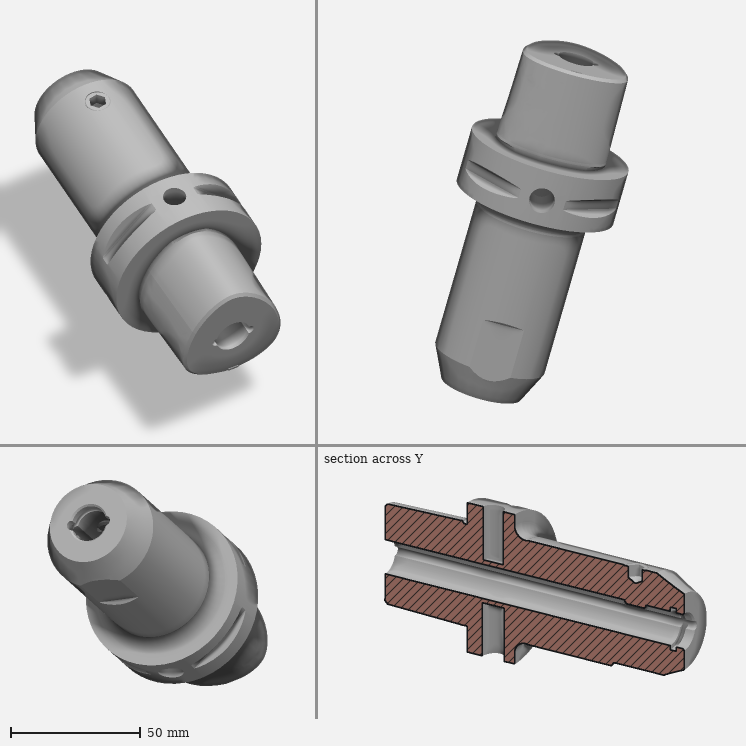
import cadquery as cq
import math

nose_diameter = 32.0
body_diameter = 44.0
neck_diameter = 43.6
flange_diameter = 63.0
nose_length = 12.7
neck_start = 72.0
neck_cone_length = 0.8
flange_front = 78.0
flange_back = 99.9
shank_end = 137.6
overall_length = 138.0
flange_fillet = 5.0

flat_height = 20.4
flat_end = 32.4
flat_run_out = 1.1

bore_diameter = 14.2
bore_mouth_diameter = 15.6
mouth_depth = 0.7
ring_groove_diameter = 17.8
ring_groove_start = 3.9
ring_groove_width = 2.5
coolant_groove_diameter = 3.9
coolant_groove_offset = 7.0

screw_x = 22.5
screw_diameter = 10.0
screw_point_diameter = 8.1
screw_point_height = 5.7
screw_top_height = 21.8
socket_width = 6.1
socket_depth = 4.8
socket_turn = 41
socket_cone_depth = 1.7
screw_rim_chamfer = 0.3

slot_x = 87.9
slot_floor_distance = 27.7
slot_floor_width = 3.5
slot_step_width = 4.4
slot_step_height = 0.4
slot_top_width = 7.7
slot_count = 4
top_hole_diameter = 9.0
bottom_hole_diameter = 10.0
marker_floor_diameter = 18.4

lobe_count = 3
shank_radius = body_diameter / 2
lobe_height = 1.4
land_rise = 0.1
land_start = 101.8
land_end = 102.8
shank_taper = 1 / 40
end_chamfer = 1.1
lobe_groove_radius = 22.4
lobe_groove_width = 1.2
mark_width = 4.4
mark_height = 0.8
first_flank = 30


def on_axis_profile(points):
    """Revolve an (x, radius) outline about the tool axis."""
    return cq.Workplane("XY").polyline(points).close().revolve(360, (0, 0, 0), (1, 0, 0))


def make_body():
    flange_radius = flange_diameter / 2
    neck_radius = neck_diameter / 2
    outline = (
        cq.Workplane("XY")
        .moveTo(0, 0)
        .lineTo(0, nose_diameter / 2)
        .lineTo(nose_length, body_diameter / 2)
        .lineTo(neck_start, body_diameter / 2)
        .lineTo(neck_start + neck_cone_length, neck_radius)
        .lineTo(flange_front - flange_fillet, neck_radius)
        .radiusArc((flange_front, neck_radius + flange_fillet), -flange_fillet)
        .lineTo(flange_front, flange_radius)
        .lineTo(flange_back, flange_radius)
        .lineTo(flange_back, 0)
        .close()
    )
    body = outline.revolve(360, (0, 0, 0), (1, 0, 0))
    run_out_end = flat_end + flat_run_out
    flat = (
        cq.Workplane("XZ")
        .polyline([
            (0, -flat_height),
            (flat_end, -flat_height),
            (run_out_end, -body_diameter / 2),
            (run_out_end, -body_diameter),
            (0, -body_diameter),
        ])
        .close()
        .extrude(body_diameter, both=True)
    )
    return body.cut(flat)


def lobed_point(radius, angle):
    """Point of the three-lobed outline whose normal is at the given angle."""
    phase = lobe_count * (angle - math.pi / 2)
    reach = radius + lobe_height * math.cos(phase)
    slide = lobe_count * lobe_height * math.sin(phase)
    y = reach * math.cos(angle) + slide * math.sin(angle)
    z = reach * math.sin(angle) - slide * math.cos(angle)
    return y, z


def lobed_section(x, radius):
    """Closed wire of three arcs, each running over one lobe between two flanks."""
    edges = []
    steps = 12
    sweep = 2 * math.pi / lobe_count
    for lobe in range(lobe_count):
        start = math.radians(first_flank) + lobe * sweep
        angles = [start + sweep * step / steps for step in range(steps + 1)]
        points = [cq.Vector(x, *lobed_point(radius, angle)) for angle in angles]
        tangents = [cq.Vector(0, -math.sin(angle), math.cos(angle)) for angle in (angles[0], angles[-1])]
        edges.append(cq.Edge.makeSpline(points, tangents=tangents))
    return cq.Wire.assembleEdges(edges)


def lobed_length(x_start, radius_start, x_end, radius_end):
    sections = [lobed_section(x_start, radius_start), lobed_section(x_end, radius_end)]
    return cq.Workplane(cq.Solid.makeLoft(sections, True))


def make_shank():
    chamfer_start = shank_end - end_chamfer
    taper_end_radius = shank_radius - (chamfer_start - land_end) * shank_taper
    root = lobed_length(flange_back, shank_radius, land_start, shank_radius)
    land = lobed_length(land_start, shank_radius + land_rise, land_end, shank_radius)
    taper = lobed_length(land_end, shank_radius, chamfer_start, taper_end_radius)
    chamfer = lobed_length(chamfer_start, taper_end_radius, shank_end, taper_end_radius - end_chamfer)
    shank = root.union(land).union(taper).union(chamfer)
    outer = shank_radius + 2 * lobe_height
    groove_end = flange_back + lobe_groove_width
    lobe_groove = on_axis_profile([
        (flange_back, lobe_groove_radius),
        (groove_end, lobe_groove_radius),
        (land_start, lobe_groove_radius + land_start - groove_end),
        (land_start, outer),
        (flange_back, outer),
    ])
    return shank.cut(lobe_groove)


def make_slots():
    step_distance = slot_floor_distance + slot_step_height
    slot = (
        cq.Workplane("XZ")
        .polyline([
            (slot_x - slot_floor_width / 2, slot_floor_distance),
            (slot_x + slot_floor_width / 2, slot_floor_distance),
            (slot_x + slot_step_width / 2, step_distance),
            (slot_x + slot_top_width / 2, flange_diameter / 2),
            (slot_x - slot_top_width / 2, flange_diameter / 2),
            (slot_x - slot_step_width / 2, step_distance),
        ])
        .close()
        .extrude(flange_diameter / 2, both=True)
    )
    slots = cq.Workplane()
    pitch = 360 / slot_count
    for index in range(slot_count):
        slots = slots.add(slot.rotate((0, 0, 0), (1, 0, 0), pitch * (index + 0.5)))
    return slots.combine()


def make_bore():
    bore_radius = bore_diameter / 2
    ring_groove_end = ring_groove_start + ring_groove_width
    bore = on_axis_profile([
        (0, 0),
        (0, bore_mouth_diameter / 2),
        (mouth_depth, bore_radius),
        (ring_groove_start, bore_radius),
        (ring_groove_start, ring_groove_diameter / 2),
        (ring_groove_end, ring_groove_diameter / 2),
        (ring_groove_end, bore_radius),
        (overall_length, bore_radius),
        (overall_length, 0),
    ])
    coolant_grooves = (
        cq.Workplane("YZ")
        .pushPoints([(-coolant_groove_offset, 0), (coolant_groove_offset, 0)])
        .circle(coolant_groove_diameter / 2)
        .extrude(overall_length)
    )
    return bore.union(coolant_grooves)


def vertical_cylinder(x, diameter, z_bottom, z_top):
    base = cq.Workplane("XY", origin=(x, 0, z_bottom))
    return base.circle(diameter / 2).extrude(z_top - z_bottom)


def make_screw():
    point_chamfer = (screw_diameter - screw_point_diameter) / 2
    screw = vertical_cylinder(screw_x, screw_diameter, screw_point_height, screw_top_height)
    screw = screw.faces("<Z").chamfer(point_chamfer)
    screw = screw.faces(">Z").chamfer(screw_rim_chamfer)
    socket_corner_diameter = socket_width / math.cos(math.pi / 6)
    socket_floor = screw_top_height - socket_depth
    socket = (
        cq.Workplane("XY", origin=(screw_x, 0, socket_floor))
        .transformed(rotate=(0, 0, socket_turn))
        .polygon(6, socket_corner_diameter)
        .extrude(socket_depth)
    )
    tip = cq.Workplane(
        cq.Solid.makeCone(
            socket_width / 2, 0, socket_cone_depth, cq.Vector(screw_x, 0, socket_floor), cq.Vector(0, 0, -1)
        )
    )
    return screw.cut(socket).cut(tip)


def make_end_mark():
    """Small raised mark on the end face, at the lower flank."""
    flank_edge = shank_radius - lobe_height - (shank_end - land_end) * shank_taper - end_chamfer
    mark_depth = 2 * (overall_length - shank_end)
    mark = cq.Workplane("XY").box(mark_depth, mark_width, mark_height)
    return mark.translate((shank_end, 0, -flank_edge + mark_height / 2))


def make_marker_holes():
    """Opposite radial holes that stop on a floor curved about the tool axis."""
    flange_radius = flange_diameter / 2
    top_hole = vertical_cylinder(slot_x, top_hole_diameter, 0, flange_radius)
    bottom_hole = vertical_cylinder(slot_x, bottom_hole_diameter, -flange_radius, 0)
    core = cq.Workplane("YZ").circle(marker_floor_diameter / 2).extrude(overall_length)
    return top_hole.union(bottom_hole).cut(core)


screw_hole = vertical_cylinder(screw_x, screw_diameter, 0, body_diameter)

result = (
    make_body()
    .union(make_shank())
    .cut(make_slots())
    .cut(make_marker_holes())
    .cut(make_bore())
    .cut(screw_hole)
    .union(make_screw())
    .union(make_end_mark())
)